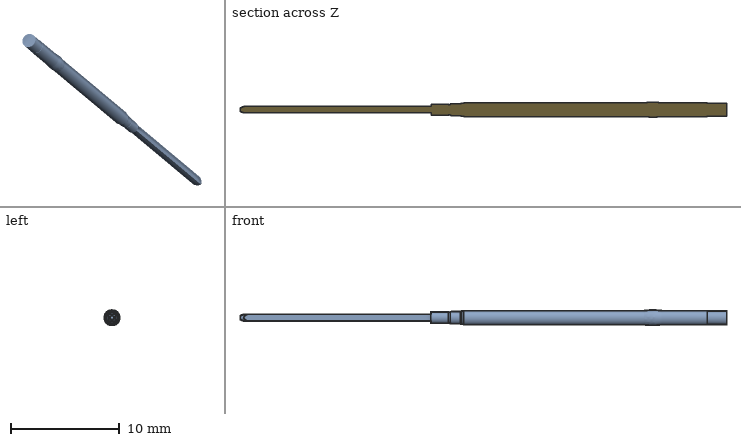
import cadquery as cq
import math

total_length = 44.81
sleeve_start = 17.55
groove_start = 19.18
head_start = 19.32
head_chamfer_end = 19.46
shoulder_ramp_start = 20.25
shoulder_start = 20.4
body_start = 20.6
bulge_start = 37.2
bulge_end = 38.8
tail_start = 42.99

post_width = 0.64
tip_diameter = 0.36
tip_cone_length = 0.65
sleeve_diameter = 1.05
groove_diameter = 1.0
head_face_diameter = 1.08
head_diameter = 1.14
shoulder_diameter = 1.25
body_diameter = 1.32
bulge_diameter = 1.43
tail_diameter = 1.27

x_axis = ((0, 0, 0), (1, 0, 0))


def turned(profile):
    """Revolve an open profile of radius over X about the X axis, closing it along the axis."""
    return profile.close().revolve(360, *x_axis)


def square_post():
    """Square post whose four corners are turned down to a blunt conical tip."""
    post = cq.Workplane("YZ").rect(post_width, post_width).extrude(sleeve_start)
    corner_radius = post_width / math.sqrt(2)
    envelope = turned(
        cq.Workplane("XZ")
        .lineTo(0, tip_diameter / 2)
        .lineTo(tip_cone_length, corner_radius)
        .lineTo(sleeve_start, corner_radius)
        .lineTo(sleeve_start, 0)
    )
    return post.intersect(envelope)


def front_section():
    """Sleeve, relief groove, chamfered head and the shoulder leading up to the body."""
    return turned(
        cq.Workplane("XZ")
        .moveTo(sleeve_start, 0)
        .lineTo(sleeve_start, sleeve_diameter / 2)
        .lineTo(groove_start, sleeve_diameter / 2)
        .lineTo(groove_start, groove_diameter / 2)
        .lineTo(head_start, groove_diameter / 2)
        .lineTo(head_start, head_face_diameter / 2)
        .lineTo(head_chamfer_end, head_diameter / 2)
        .lineTo(shoulder_ramp_start, head_diameter / 2)
        .lineTo(shoulder_start, shoulder_diameter / 2)
        .lineTo(body_start, shoulder_diameter / 2)
        .lineTo(body_start, 0)
    )


def barrel():
    """Body with its barrel-shaped press bulge, followed by the slimmer tail."""
    bulge_middle = (bulge_start + bulge_end) / 2
    return turned(
        cq.Workplane("XZ")
        .moveTo(body_start, 0)
        .lineTo(body_start, body_diameter / 2)
        .lineTo(bulge_start, body_diameter / 2)
        .threePointArc((bulge_middle, bulge_diameter / 2), (bulge_end, body_diameter / 2))
        .lineTo(tail_start, body_diameter / 2)
        .lineTo(tail_start, tail_diameter / 2)
        .lineTo(total_length, tail_diameter / 2)
        .lineTo(total_length, 0)
    )


result = square_post().union(front_section()).union(barrel())